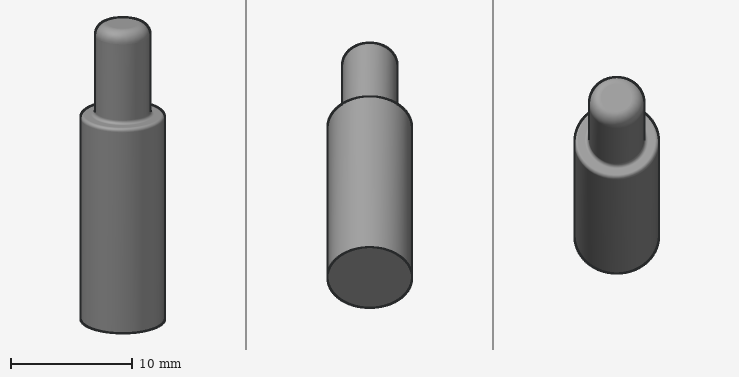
import cadquery as cq

body_diameter = 7.0
pin_diameter = 4.6
total_height = 26.0
body_height = 18.0

tip_radius = 1.0
shoulder_radius = 0.3
root_radius = 0.3


def make_body():
    """Cylindrical body standing on Z = 0, with its upper rim rounded."""
    body = cq.Workplane("XY").circle(body_diameter / 2).extrude(body_height)
    return body.faces(">Z").edges().fillet(shoulder_radius)


def make_pin():
    """Slimmer pin standing on the body, with a rounded tip."""
    pin_length = total_height - body_height
    pin = cq.Workplane("XY", origin=(0, 0, body_height)).circle(pin_diameter / 2).extrude(pin_length)
    return pin.faces(">Z").edges().fillet(tip_radius)


def make_root_fillet():
    """Ring that blends the pin into the shoulder with a concave arc."""
    pin_radius = pin_diameter / 2
    arc_centre = (pin_radius + root_radius, body_height + root_radius)
    arc_offset = root_radius * 0.5**0.5
    arc_middle = (arc_centre[0] - arc_offset, arc_centre[1] - arc_offset)
    profile = (
        cq.Workplane("XZ")
        .moveTo(0, body_height)
        .lineTo(pin_radius + root_radius, body_height)
        .threePointArc(arc_middle, (pin_radius, body_height + root_radius))
        .lineTo(0, body_height + root_radius)
        .close()
    )
    return profile.revolve(360, (0, 0, 0), (0, 1, 0))


result = make_body().union(make_pin()).union(make_root_fillet())